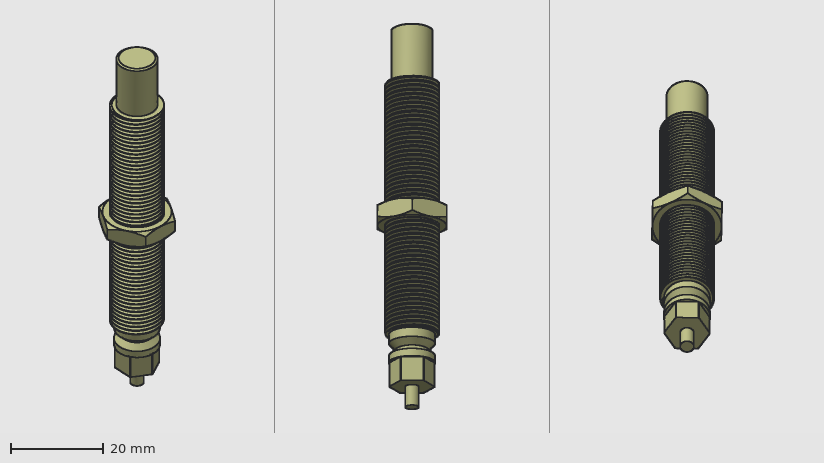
import cadquery as cq
import math

TOTAL_LENGTH = 86.5
CABLE_EXPOSED = 4.7
HEX_TOP = 10.1
LOWER_COLLAR_TOP = 11.8
WAIST_HEIGHT = 13.1
UPPER_COLLAR_BOTTOM = 14.5
THREAD_BOTTOM = 16.6
THREAD_TOP = 74.1

CABLE_DIAMETER = 3.0
HEX_FLATS = 8.65
HEX_CORNER_DIAMETER = 9.9
COLLAR_DIAMETER = 10.0
WAIST_DIAMETER = 7.1
HEAD_DIAMETER = 9.0
HEAD_CHAMFER_WIDTH = 0.5
HEAD_CHAMFER_HEIGHT = 0.3

THREAD_MAJOR = 11.85
THREAD_ROOT = 10.7
BARREL_TURNS = 57.5
THREAD_PITCH = (THREAD_TOP - THREAD_BOTTOM) / BARREL_TURNS
CREST_WIDTH = 0.2
ROOT_WIDTH = 0.1
CREST_OFFSET = 0.48
ROD_START = THREAD_BOTTOM + CREST_OFFSET - 2 * THREAD_PITCH
ROD_TURNS = math.ceil((THREAD_TOP - ROD_START) / THREAD_PITCH) + 1

NUT_FLATS = 15.05
NUT_BORE = THREAD_MAJOR
NUT_BOTTOM = 41.5
NUT_HEIGHT = 4.0
NUT_FACE_DIAMETER = 15.0
NUT_CHAMFER_ANGLE = 30


def hexagon_prism(flats, bottom, height):
    """Hexagonal prism with two corners toward +X and -X."""
    corner_diameter = flats / math.cos(math.radians(30))
    prism = cq.Workplane("XY").polygon(6, corner_diameter).extrude(height)
    return prism.translate((0, 0, bottom))


def cylinder(diameter, bottom, top):
    return cq.Workplane("XY").workplane(offset=bottom).circle(diameter / 2).extrude(top - bottom)


def axial_point(radius, height):
    return cq.Vector(radius, 0, height)


def helix_turn(radius, height):
    """One right-handed turn that starts on +X."""
    wire = cq.Wire.makeHelix(THREAD_PITCH, THREAD_PITCH, radius)
    return wire.Edges()[0].translate(axial_point(0, height))


def threaded_rod():
    """Threaded rod with stepped helical ends, a little longer than the barrel."""
    root_radius = THREAD_ROOT / 2
    crest_radius = THREAD_MAJOR / 2
    half_crest = CREST_WIDTH / 2
    half_base = (THREAD_PITCH - ROOT_WIDTH) / 2
    next_turn = THREAD_PITCH - half_base
    section = [
        (root_radius, -half_base),
        (crest_radius, -half_crest),
        (crest_radius, half_crest),
        (root_radius, half_base),
        (root_radius, next_turn),
    ]
    helices = [helix_turn(radius, height) for radius, height in section]
    turn_faces = [cq.Face.makeRuledSurface(lower, upper) for lower, upper in zip(helices, helices[1:])]
    axis_bottom = axial_point(0, -half_base)
    axis_top = axial_point(0, next_turn)
    ramp = cq.Face.makeRuledSurface(cq.Edge.makeLine(axis_bottom, axis_top), helices[0])
    step_corners = [axis_bottom, *[axial_point(*corner) for corner in section], axis_top]
    step = cq.Face.makeFromWires(cq.Wire.makePolygon(step_corners, close=True))

    faces = []
    for turn in range(ROD_TURNS):
        rise = axial_point(0, turn * THREAD_PITCH)
        faces += [face.translate(rise) for face in turn_faces]
    for end_height in (0, ROD_TURNS * THREAD_PITCH):
        faces += [face.translate(axial_point(0, end_height)) for face in (ramp, step)]
    rod = cq.Solid.makeSolid(cq.Shell.makeShell(faces))
    return cq.Workplane(rod.translate(axial_point(0, ROD_START)))


def make_sensor():
    barrel_band = cylinder(2 * THREAD_MAJOR, THREAD_BOTTOM, THREAD_TOP)
    barrel = threaded_rod().intersect(barrel_band, clean=False)
    head_radius = HEAD_DIAMETER / 2
    head = cq.Workplane("XZ").polyline([
        (0, THREAD_TOP),
        (head_radius, THREAD_TOP),
        (head_radius, TOTAL_LENGTH - HEAD_CHAMFER_HEIGHT),
        (head_radius - HEAD_CHAMFER_WIDTH, TOTAL_LENGTH),
        (0, TOTAL_LENGTH),
    ]).close().revolve(360, (0, 0), (0, 1))
    collar_radius = COLLAR_DIAMETER / 2
    neck = cq.Workplane("XZ").polyline([
        (0, HEX_TOP),
        (collar_radius, HEX_TOP),
        (collar_radius, LOWER_COLLAR_TOP),
        (WAIST_DIAMETER / 2, WAIST_HEIGHT),
        (collar_radius, UPPER_COLLAR_BOTTOM),
        (collar_radius, THREAD_BOTTOM),
        (0, THREAD_BOTTOM),
    ]).close().revolve(360, (0, 0), (0, 1))
    hexagon = hexagon_prism(HEX_FLATS, CABLE_EXPOSED, HEX_TOP - CABLE_EXPOSED)
    hexagon = hexagon.intersect(cylinder(HEX_CORNER_DIAMETER, CABLE_EXPOSED, HEX_TOP))
    cable = cylinder(CABLE_DIAMETER, 0, CABLE_EXPOSED)
    tail = cable.union(hexagon).union(neck)
    return barrel.union(head, clean=False).union(tail, clean=False)


def make_nut():
    nut_top = NUT_BOTTOM + NUT_HEIGHT
    nut = hexagon_prism(NUT_FLATS, NUT_BOTTOM, NUT_HEIGHT).rotate((0, 0, 0), (0, 0, 1), 90)
    slope = math.tan(math.radians(NUT_CHAMFER_ANGLE))
    face_radius = NUT_FACE_DIAMETER / 2
    rim_radius = face_radius + NUT_HEIGHT / 2 / slope
    envelope = cq.Workplane("XZ").polyline([
        (0, NUT_BOTTOM),
        (face_radius, NUT_BOTTOM),
        (rim_radius, NUT_BOTTOM + NUT_HEIGHT / 2),
        (face_radius, nut_top),
        (0, nut_top),
    ]).close().revolve(360, (0, 0), (0, 1))
    return nut.intersect(envelope).cut(cylinder(NUT_BORE, NUT_BOTTOM, nut_top))


sensor = make_sensor()
nut = make_nut()
result = cq.Compound.makeCompound([sensor.solids().val(), nut.val()])